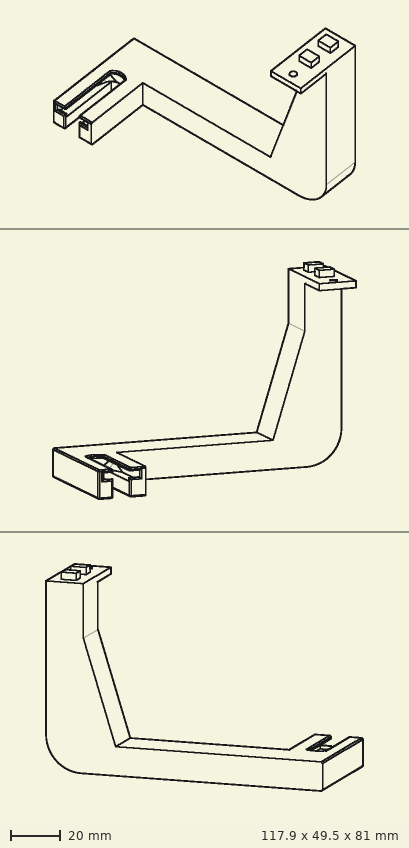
import cadquery as cq
import math

length_x = 117.9
depth_y = 49.5
height_z = 81.0

arm_width = 17.8
bar_height = 12.0
post_thickness = 15.9
brace_foot_x = 88.2
brace_top_z = 55.8
corner_radius = 15.0

peg_height = 3.0
plate_thickness = 2.8
plate_depth = 33.6
peg_width = 6.5
peg_depth = 5.0
peg_back_gaps = (5.0, 16.7)
hole_diameter = 3.1
hole_back_distance = 29.0

fork_width = 20.5
edge_chamfer = 0.6
bevel_angle = 45.0

slot_center_x = 10.0
slot_width = 7.2
slot_end_y = 30.1
slot_end_radius = 5.0

channel_width = 16.0
channel_floor_z = 6.4
channel_top_z = 10.7
sill_top_z = 7.8
sill_length = 1.3
seat_radius = 5.4
seat_flare_angle = 20.0
seat_wall_angle = 45.0

plate_top_z = height_z - peg_height
bar_start_x = fork_width / 2
post_left_x = length_x - post_thickness
post_center_x = length_x - post_thickness / 2
seat_center_y = slot_end_y - slot_end_radius


def block(x_min, x_max, y_min, y_max, z_min, z_max):
    """Axis-aligned box given by its limits."""
    size = (x_max - x_min, y_max - y_min, z_max - z_min)
    return cq.Workplane("XY").box(*size, centered=False).translate((x_min, y_min, z_min))


def make_arm():
    """Bar, brace and post along the rear face, starting inside the fork block."""
    return (
        cq.Workplane("XZ", origin=(0, depth_y, 0))
        .moveTo(bar_start_x, 0)
        .lineTo(length_x - corner_radius, 0)
        .radiusArc((length_x, corner_radius), -corner_radius)
        .lineTo(length_x, plate_top_z)
        .lineTo(post_left_x, plate_top_z)
        .lineTo(post_left_x, brace_top_z)
        .lineTo(brace_foot_x, bar_height)
        .lineTo(bar_start_x, bar_height)
        .close()
        .extrude(arm_width)
    )


def make_top_plate():
    """Plate overhanging the post, with its pegs and hole."""
    plate = block(
        post_left_x, length_x,
        depth_y - plate_depth, depth_y,
        plate_top_z - plate_thickness, plate_top_z,
    )
    for gap in peg_back_gaps:
        peg = block(
            post_center_x - peg_width / 2, post_center_x + peg_width / 2,
            depth_y - gap - peg_depth, depth_y - gap,
            plate_top_z, height_z,
        )
        plate = plate.union(peg)
    hole = (
        cq.Workplane("XY", origin=(post_center_x, depth_y - hole_back_distance, plate_top_z))
        .circle(hole_diameter / 2)
        .extrude(-plate_thickness)
    )
    return plate.cut(hole)


def slot_outline(base_z, margin=0.0):
    """Slot outline grown by a margin, closed by a shallow arc and open past the front."""
    half_width = slot_width / 2 + margin
    radius = slot_end_radius + margin
    side_y = seat_center_y + math.sqrt(radius**2 - half_width**2)
    front_y = -slot_width
    return (
        cq.Workplane("XY", origin=(slot_center_x, 0, base_z))
        .moveTo(-half_width, front_y)
        .lineTo(-half_width, side_y)
        .threePointArc((0, seat_center_y + radius), (half_width, side_y))
        .lineTo(half_width, front_y)
        .close()
    )


def cut_slot_bevels(fork):
    """Bevel the slot edges on the top and bottom faces."""
    for base_z, depth in ((0, edge_chamfer), (bar_height, -edge_chamfer)):
        bevel = slot_outline(base_z, edge_chamfer).extrude(depth, taper=bevel_angle)
        fork = fork.cut(bevel)
    return fork


def make_seat():
    """Head seat: sloped walls round the slot end, flaring toward the mouth."""
    flare = math.radians(seat_flare_angle)
    tangent_x = seat_radius * math.cos(flare)
    tangent_y = seat_center_y + seat_radius * math.sin(flare)
    mouth_x = tangent_x + tangent_y * math.tan(flare)
    return (
        cq.Workplane("XY", origin=(slot_center_x, 0, channel_floor_z))
        .moveTo(-mouth_x, 0)
        .lineTo(-tangent_x, tangent_y)
        .threePointArc((0, seat_center_y + seat_radius), (tangent_x, tangent_y))
        .lineTo(mouth_x, 0)
        .close()
        .extrude(channel_top_z - channel_floor_z, taper=-seat_wall_angle)
    )


def make_channel():
    """Seat trimmed to the channel walls, plus the shallower mouth over the sill."""
    x_min = slot_center_x - channel_width / 2
    x_max = slot_center_x + channel_width / 2
    limits = block(x_min, x_max, sill_length, slot_end_y, channel_floor_z, channel_top_z)
    mouth = block(x_min, x_max, 0, sill_length, sill_top_z, channel_top_z)
    return make_seat().intersect(limits).union(mouth)


def make_fork():
    """Slotted fork with bevelled left, front and slot edges; its right edges stay sharp."""
    fork = block(0, fork_width, 0, depth_y, 0, bar_height)
    fork = fork.cut(slot_outline(0).extrude(bar_height)).cut(make_channel())

    right_edge = cq.selectors.BoxSelector(
        (fork_width - edge_chamfer, -edge_chamfer, 0),
        (fork_width + edge_chamfer, edge_chamfer, bar_height),
    )
    front_edges = fork.faces("<Y").edges().edges(cq.selectors.InverseSelector(right_edge))
    side_edges = fork.faces("<X").edges("|Y")
    fork = front_edges.add(side_edges).chamfer(edge_chamfer)
    return cut_slot_bevels(fork)


result = make_arm().union(make_fork()).union(make_top_plate())